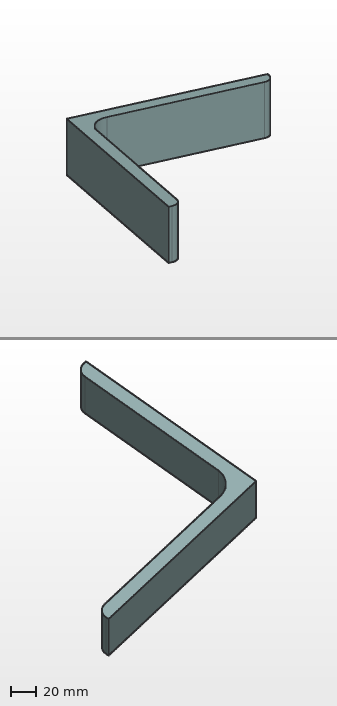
import cadquery as cq

leg_length = 180.0
leg_thickness = 12.0
section_length = 50.0
root_radius = 18.0
toe_radius = 9.0


def angle_blank():
    """Sharp-cornered L section with its heel at the origin."""
    outline = [
        (0, 0),
        (leg_length, 0),
        (leg_length, leg_thickness),
        (leg_thickness, leg_thickness),
        (leg_thickness, leg_length),
        (0, leg_length),
    ]
    return cq.Workplane("XY").polyline(outline).close().extrude(section_length)


def round_edge(body, x, y, radius):
    """Round the vertical edge that passes through (x, y)."""
    edge_midpoint = (x, y, section_length / 2)
    edge = cq.selectors.NearestToPointSelector(edge_midpoint)
    return body.edges("|Z").edges(edge).fillet(radius)


result = angle_blank()

result = round_edge(result, leg_thickness, leg_thickness, root_radius)
result = round_edge(result, leg_length, leg_thickness, toe_radius)
result = round_edge(result, leg_thickness, leg_length, toe_radius)